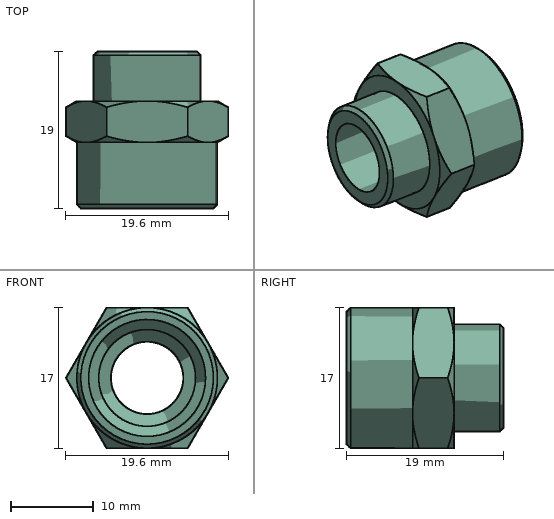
import cadquery as cq
import math

hex_across_corners = 19.63
hex_across_flats = hex_across_corners * math.cos(math.radians(30))
hex_thickness = 5.0
hex_chamfer_angle = 30.0

total_length = 19.0
large_length = 7.99
large_radius = hex_across_flats / 2
small_radius = 6.5
end_chamfer = 0.5

through_radius = 4.35
socket_radius = 5.85
mouth_radius = 7.07
mouth_depth = mouth_radius - socket_radius
socket_depth = 11.0
seat_angle = 60.0

hex_end = large_length + hex_thickness


def revolve_about_y(profile):
    """Revolve (radius, y) points a full turn around the Y axis."""
    return cq.Workplane("XY").polyline(profile).close().revolve(360, (0, 0, 0), (0, 1, 0))


def make_spigots():
    return revolve_about_y([
        (0, 0),
        (large_radius - end_chamfer, 0),
        (large_radius, end_chamfer),
        (large_radius, hex_end - hex_thickness / 2),
        (small_radius, hex_end - hex_thickness / 2),
        (small_radius, total_length - end_chamfer),
        (small_radius - end_chamfer, total_length),
        (0, total_length),
    ])


def make_hex_collar():
    """Hexagon with corners on X, its corners coned off at both faces."""
    corner_radius = hex_across_corners / 2
    bevel = (corner_radius - hex_across_flats / 2) * math.tan(math.radians(hex_chamfer_angle))
    prism = (
        cq.Workplane("XZ", origin=(0, large_length, 0))
        .polygon(6, hex_across_corners)
        .extrude(-hex_thickness)
    )
    envelope = revolve_about_y([
        (0, large_length),
        (hex_across_flats / 2, large_length),
        (corner_radius, large_length + bevel),
        (corner_radius, hex_end - bevel),
        (hex_across_flats / 2, hex_end),
        (0, hex_end),
    ])
    return prism.intersect(envelope)


def make_bore():
    """Flared mouth, straight socket, conical seat and through hole."""
    seat_depth = (socket_radius - through_radius) / math.tan(math.radians(seat_angle))
    return revolve_about_y([
        (0, 0),
        (mouth_radius, 0),
        (socket_radius, mouth_depth),
        (socket_radius, socket_depth),
        (through_radius, socket_depth + seat_depth),
        (through_radius, total_length),
        (0, total_length),
    ])


result = make_spigots().union(make_hex_collar()).cut(make_bore())